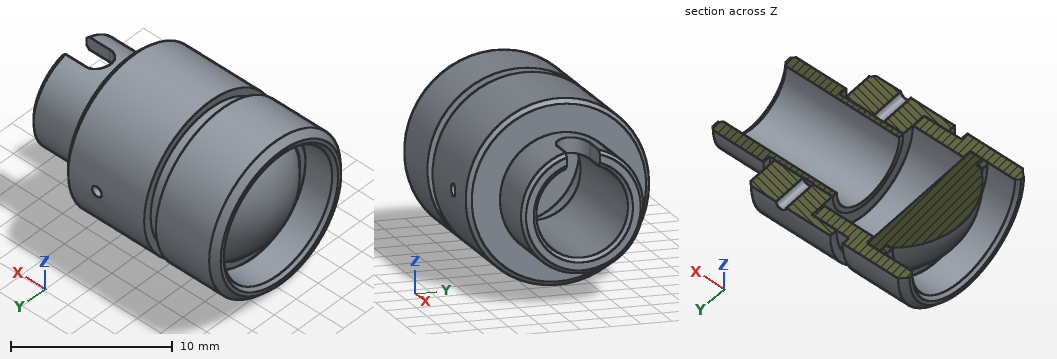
import cadquery as cq
import math

total_length = 17.43
front_barrel_end = 5.0
rear_barrel_start = 6.0
rear_barrel_end = 12.7
nose_start = 13.1

barrel_radius = 6.0
front_chamfer = 0.5
bore_radius = 4.95
mouth_chamfer = 0.26
spigot_radius = 5.4
spigot_engagement = 2.0

ring_front = 2.37
ring_thickness = 0.5
ring_inner_radius = 4.3
ring_chamfer = 0.15

lens_apex = 0.42
dome_recess = 0.07
lens_flange_thickness = 1.0

rear_chamfer = 0.3
side_hole_radius = 0.4
side_hole_position = 9.99

nose_radius = 4.0
neck_radius = 3.38
nose_bore_radius = 3.0
nose_chamfer = 0.25
slot_width = 2.16
slot_tip = 14.4

ring_back = ring_front + ring_thickness
dome_edge = ring_front + dome_recess
lens_back = ring_back + lens_flange_thickness
spigot_end = rear_barrel_start + spigot_engagement


def cylinder(radius, start, end):
    """Solid cylinder on the X axis between two stations."""
    return cq.Workplane("YZ").workplane(offset=start).circle(radius).extrude(end - start)


def make_front_barrel():
    """Chamfered barrel with a spigot behind it and a bore stepped to seat the lens."""
    barrel = cylinder(barrel_radius, 0, front_barrel_end).faces("<X").chamfer(front_chamfer)
    spigot = cylinder(spigot_radius, front_barrel_end, spigot_end)
    lens_pocket = cylinder(bore_radius, 0, lens_back)
    light_passage = cylinder(ring_inner_radius, lens_back, spigot_end)
    body = barrel.union(spigot).cut(lens_pocket).cut(light_passage)
    mouth = cq.Workplane("XY").polyline([
        (0, 0),
        (0, bore_radius + mouth_chamfer),
        (mouth_chamfer, bore_radius),
        (mouth_chamfer, 0),
    ]).close().revolve(360, (0, 0, 0), (1, 0, 0))
    return body.cut(mouth)


def make_retaining_ring():
    """Ring that holds the lens flange, chamfered around its front edge."""
    disc = cylinder(bore_radius, ring_front, ring_back).faces("<X").chamfer(ring_chamfer)
    return disc.cut(cylinder(ring_inner_radius, ring_front, ring_back))


def make_lens():
    """Plano-convex lens: a spherical dome fitted inside the ring, with a flat flange behind it."""
    sag = dome_edge - lens_apex
    sphere_radius = (ring_inner_radius**2 + sag**2) / (2 * sag)
    half_angle = math.asin(ring_inner_radius / sphere_radius) / 2
    dome_middle = (
        lens_apex + sphere_radius * (1 - math.cos(half_angle)),
        sphere_radius * math.sin(half_angle),
    )
    return (
        cq.Workplane("XY")
        .moveTo(lens_apex, 0)
        .threePointArc(dome_middle, (dome_edge, ring_inner_radius))
        .lineTo(ring_back, ring_inner_radius)
        .lineTo(ring_back, bore_radius)
        .lineTo(lens_back, bore_radius)
        .lineTo(lens_back, 0)
        .close()
        .revolve(360, (0, 0, 0), (1, 0, 0))
    )


def make_rear_barrel():
    """Barrel with a socket for the spigot, a bore for the neck and two side holes."""
    body = cylinder(barrel_radius, rear_barrel_start, rear_barrel_end).faces(">X").chamfer(rear_chamfer)
    socket = cylinder(spigot_radius, rear_barrel_start, spigot_end)
    neck_bore = cylinder(neck_radius, spigot_end, rear_barrel_end)
    side_holes = (
        cq.Workplane("XZ")
        .center(side_hole_position, 0)
        .circle(side_hole_radius)
        .extrude(barrel_radius, both=True)
    )
    return body.cut(socket).cut(neck_bore).cut(side_holes)


def make_nose():
    """Hollow nose on a neck, with a round-ended key slot through its upper wall."""
    neck = cylinder(neck_radius, spigot_end, nose_start)
    head = cylinder(nose_radius, nose_start, total_length).faces(">X").chamfer(nose_chamfer)
    bore = cylinder(nose_bore_radius, spigot_end, total_length)
    body = neck.union(head).cut(bore)
    body = body.faces(">X").edges(cq.selectors.RadiusNthSelector(0)).chamfer(nose_chamfer)

    slot_end_radius = slot_width / 2
    slot_center = slot_tip + slot_end_radius
    slot_length = total_length - slot_center
    slot = (
        cq.Workplane("XY")
        .center(slot_center, 0)
        .circle(slot_end_radius)
        .extrude(nose_radius)
        .union(
            cq.Workplane("XY")
            .center(slot_center + slot_length / 2, 0)
            .rect(slot_length, slot_width)
            .extrude(nose_radius)
        )
    )
    return body.cut(slot)


front_barrel = make_front_barrel()
retaining_ring = make_retaining_ring()
lens = make_lens()
rear_barrel = make_rear_barrel()
nose = make_nose()

result = cq.Compound.makeCompound([
    front_barrel.val(),
    retaining_ring.val(),
    lens.val(),
    rear_barrel.val(),
    nose.val(),
])